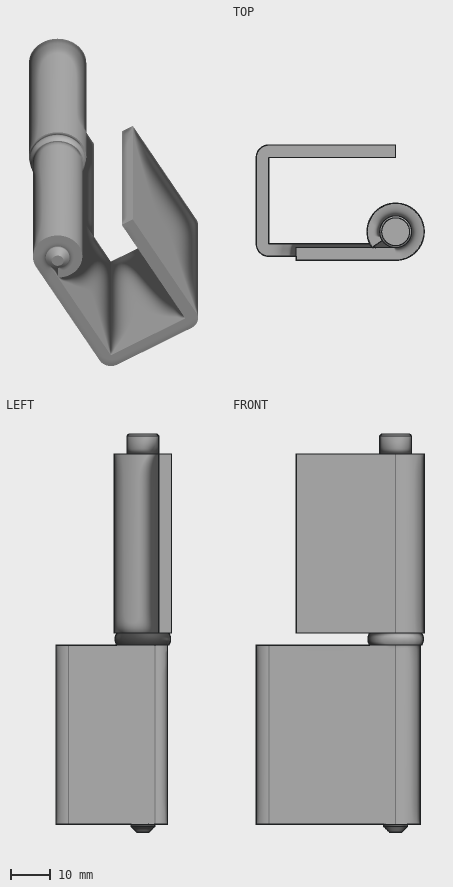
import cadquery as cq
import math


sheet = 3.2
leaf_height = 45.0
curl_gap = 0.02

upper_pin_radius = 4.0
lower_pin_radius = 3.0
pin_above_leaf = 5.0
pin_below_leaf = 2.0
pin_top_chamfer = 0.5
pin_bottom_chamfer = 1.5

ring_height = 3.0
ring_mid_radius = 7.0
ring_end_radius = 6.5

upper_plate_length = 25.0
channel_length = 35.0
channel_width = 28.0
bend_radius = sheet

ring_bottom = leaf_height
upper_leaf_bottom = ring_bottom + ring_height
upper_leaf_top = upper_leaf_bottom + leaf_height
pin_top = upper_leaf_top + pin_above_leaf


def polar(radius, angle):
    return (radius * math.cos(angle), radius * math.sin(angle))


def curled_plate(pin_radius, plate_length, bottom):
    """Flat plate along -X whose end is rolled around the pin."""
    outer_radius = pin_radius + sheet
    start = -math.pi / 2
    end = math.pi + math.asin((pin_radius - curl_gap) / outer_radius)
    middle = (start + end) / 2
    return (
        cq.Workplane("XY", origin=(0, 0, bottom))
        .moveTo(-plate_length, -outer_radius)
        .lineTo(0, -outer_radius)
        .threePointArc(polar(outer_radius, middle), polar(outer_radius, end))
        .lineTo(*polar(pin_radius, end))
        .threePointArc(polar(pin_radius, middle), (0, -pin_radius))
        .lineTo(-plate_length, -pin_radius)
        .close()
        .extrude(leaf_height)
    )


def make_upper_leaf():
    return curled_plate(upper_pin_radius, upper_plate_length, upper_leaf_bottom)


def make_lower_leaf():
    """Channel whose front flange is rolled around the lower part of the pin."""
    front = -(lower_pin_radius + sheet)
    back = front + channel_width
    channel = (
        cq.Workplane("XY")
        .moveTo(-channel_length, front)
        .lineTo(0, front)
        .lineTo(0, front + sheet)
        .lineTo(-channel_length + sheet, front + sheet)
        .lineTo(-channel_length + sheet, back - sheet)
        .lineTo(0, back - sheet)
        .lineTo(0, back)
        .lineTo(-channel_length, back)
        .close()
        .extrude(leaf_height)
        .edges("|Z and <X")
        .fillet(bend_radius)
    )
    rolled_flange = curled_plate(lower_pin_radius, channel_length - bend_radius, 0)
    return channel.union(rolled_flange).solids()


def make_pin():
    """Pin with its shoulder resting on the lower leaf."""
    return (
        cq.Workplane("XZ")
        .moveTo(0, -pin_below_leaf)
        .lineTo(lower_pin_radius - pin_bottom_chamfer, -pin_below_leaf)
        .lineTo(lower_pin_radius, -pin_below_leaf + pin_bottom_chamfer)
        .lineTo(lower_pin_radius, ring_bottom)
        .lineTo(upper_pin_radius, ring_bottom)
        .lineTo(upper_pin_radius, pin_top - pin_top_chamfer)
        .lineTo(upper_pin_radius - pin_top_chamfer, pin_top)
        .lineTo(0, pin_top)
        .close()
        .revolve(360, (0, 0), (0, 1))
    )


def make_ring():
    """Ring around the pin with a slightly crowned rim."""
    return (
        cq.Workplane("XZ")
        .moveTo(upper_pin_radius, ring_bottom)
        .lineTo(ring_end_radius, ring_bottom)
        .threePointArc(
            (ring_mid_radius, ring_bottom + ring_height / 2),
            (ring_end_radius, upper_leaf_bottom),
        )
        .lineTo(upper_pin_radius, upper_leaf_bottom)
        .close()
        .revolve(360, (0, 0), (0, 1))
    )


upper_leaf = make_upper_leaf()
lower_leaf = make_lower_leaf()
pin = make_pin()
ring = make_ring()

result = cq.Compound.makeCompound([upper_leaf.val(), lower_leaf.val(), pin.val(), ring.val()])